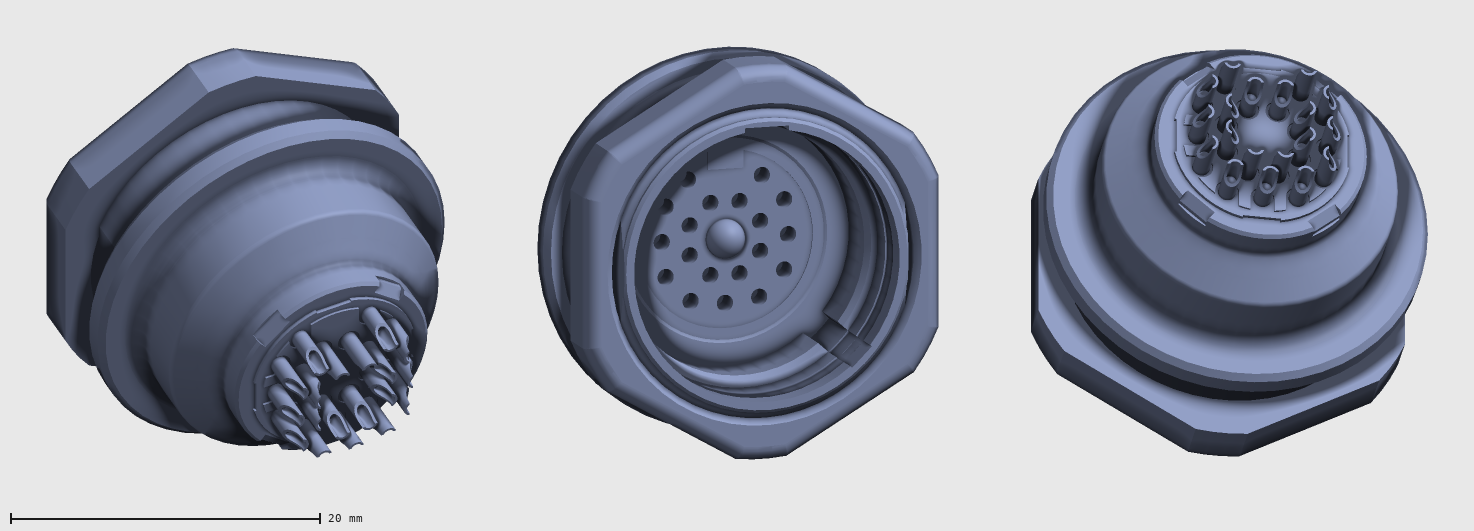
import cadquery as cq
import math


NUT_FRONT_X = 0.5
NUT_BACK_X = 4.03
NUT_ACROSS_FLATS = 24.0
NUT_CORNER_R = 13.0
NUT_EDGE_FILLET = 1.0
NUT_MOUTH_R = 10.6
SEAT_R = 10.18

THREAD_R = 10.5
BODY_R = 19.4 / 2
FLAT_ACROSS = 19.17
RIM_CHAMFER = 0.2
FLANGE_FRONT_X = 7.95
FLANGE_BACK_X = 10.03
FLANGE_R = 12.5
FLANGE_CHAMFER = 0.4
FLANGE_FRONT_CHAMFER_LENGTH = 0.5
FLANGE_FILLET = 1.0
SEAL_FRONT_X = 7.72
SEAL_SECTION_R = 0.47
CONE_START_X = 14.5
CONE_END_X = 16.45
CONE_TANGENT = 0.23
REAR_R = 13.9 / 2
REAR_X = 18.5
REAR_CHAMFER = 0.2

BORE_R = 8.96
GROOVE_R = 9.1
GROOVE_START_X = 1.43
GROOVE_TAPER_END_X = 1.85
GROOVE_END_X = 3.1
RIDGE_START_X = 4.83
RIDGE_BREAK_X = 5.12
RIDGE_BREAK_R = 8.63
RIDGE_FULL_X = 5.53
RIDGE_R = 16.6 / 2
SOCKET_FACE_X = 8.95
STEP_OUTER_R = 13.7 / 2
STEP_INNER_R = 6.65
STEP_DEPTH = 0.08
RECESS_R = 5.9
RECESS_DEPTH = 0.1
RECESS_KEY_WIDTH = 2.45
RECESS_KEY_Z = 4.6

KEY_SLOTS = [(3.0, 9.15, 0.0), (1.87, 9.07, 135.0)]

CONTACT_D = 1.15
CUP_D = 0.8
SOCKET_D = 1.1
SOCKET_DEPTH = 2.08
CONTACT_END_X = 22.0
CUP_BOTTOM_X = 20.13
CUP_WALL_HEIGHT = 0.4
CUP_CUT_R = 2.08
INNER_RING_R = 2.57
INNER_RING_COUNT = 8
OUTER_TOP = (2.5, 4.0)
OUTER_SIDE = (4.0, 2.3)
OUTER_LOW = (2.3, -4.0)
OUTER_AXIS_R = 4.25
DOME_R = 1.3

INSULATOR_R = 5.85
INSULATOR_END_X = 18.75
PAD_R = 5.2
PAD_END_X = 18.91
CLEARANCE_D = 1.55
RIM_NOTCH_WIDTH = 2.47
RIM_NOTCH_DEPTH = 0.25
LATCH_ANGLE = 50.0
LATCH_WIDTH = 2.3
LATCH_START_X = 17.65
LATCH_STEP_X = 17.95
LATCH_FLOOR_R = 6.75
LATCH_RAMP_DROP = 0.65


def cylinder(radius, start_x, end_x, y=0.0, z=0.0):
    """Solid cylinder along X."""
    return cq.Workplane("YZ", origin=(start_x, y, z)).circle(radius).extrude(end_x - start_x)


def box(start_x, end_x, width_y, low_z, high_z):
    """Block centred on Y = 0."""
    corner_plane = cq.Workplane("XY", origin=(start_x, 0, low_z))
    return corner_plane.box(end_x - start_x, width_y, high_z - low_z, centered=(False, True, False))


def turn(workplane, angle):
    """Rotate about the connector axis."""
    return workplane.rotate((0, 0, 0), (1, 0, 0), angle)


def revolve_about_axis(profile):
    return profile.close().revolve(360, (0, 0, 0), (1, 0, 0))


def make_nut():
    length = NUT_BACK_X - NUT_FRONT_X
    corner_diameter = NUT_ACROSS_FLATS / math.cos(math.pi / 6)
    hexagon = cq.Workplane("YZ", origin=(NUT_FRONT_X, 0, 0)).polygon(6, corner_diameter).extrude(length)
    blank = turn(hexagon, 30).intersect(cylinder(NUT_CORNER_R, NUT_FRONT_X, NUT_BACK_X))
    blank = blank.faces("<X").edges().fillet(NUT_EDGE_FILLET)
    bored = blank.cut(cylinder(SEAT_R, NUT_FRONT_X, NUT_BACK_X))
    mouth_edge = bored.faces("<X").edges("%CIRCLE").edges(cq.selectors.RadiusNthSelector(0))
    return mouth_edge.chamfer(NUT_MOUTH_R - SEAT_R)


def make_shell_blank():
    """Solid turned outside of the shell."""
    seat_x = NUT_FRONT_X + NUT_MOUTH_R - SEAT_R
    cone_angle = math.atan2(BODY_R - REAR_R, CONE_END_X - CONE_START_X)
    round_dx = CONE_TANGENT * math.cos(cone_angle)
    round_dr = CONE_TANGENT * math.sin(cone_angle)
    edge_r = FLANGE_R - FLANGE_CHAMFER
    profile = (
        cq.Workplane("XY")
        .moveTo(0, 0)
        .lineTo(0, BODY_R - RIM_CHAMFER)
        .lineTo(RIM_CHAMFER, BODY_R)
        .lineTo(seat_x - (SEAT_R - BODY_R), BODY_R)
        .lineTo(seat_x, SEAT_R)
        .lineTo(NUT_BACK_X, SEAT_R)
        .lineTo(NUT_BACK_X, THREAD_R)
        .lineTo(FLANGE_FRONT_X, THREAD_R)
        .lineTo(FLANGE_FRONT_X, edge_r)
        .lineTo(FLANGE_FRONT_X + FLANGE_FRONT_CHAMFER_LENGTH, FLANGE_R)
        .lineTo(FLANGE_BACK_X - FLANGE_CHAMFER, FLANGE_R)
        .lineTo(FLANGE_BACK_X, edge_r)
        .lineTo(FLANGE_BACK_X, BODY_R + FLANGE_FILLET)
        .tangentArcPoint((FLANGE_BACK_X + FLANGE_FILLET, BODY_R), relative=False)
        .lineTo(CONE_START_X - CONE_TANGENT, BODY_R)
        .tangentArcPoint((CONE_START_X + round_dx, BODY_R - round_dr), relative=False)
        .lineTo(CONE_END_X - round_dx, REAR_R + round_dr)
        .tangentArcPoint((CONE_END_X + CONE_TANGENT, REAR_R), relative=False)
        .lineTo(REAR_X - REAR_CHAMFER, REAR_R)
        .lineTo(REAR_X, REAR_R - REAR_CHAMFER)
        .lineTo(REAR_X, 0)
    )
    return revolve_about_axis(profile)


def make_thread_flats():
    """Blocks that cut the two flats on the threaded length."""
    outside = box(0, FLANGE_FRONT_X, 2 * FLANGE_R, -FLANGE_R, FLANGE_R)
    return outside.cut(box(0, FLANGE_FRONT_X, FLAT_ACROSS, -FLANGE_R, FLANGE_R))


def make_seal_bead():
    """Rounded sealing bead around the thread, partly sunk in the flange front."""
    center_x = SEAL_FRONT_X + SEAL_SECTION_R
    center_r = THREAD_R + SEAL_SECTION_R
    section = cq.Workplane("XY").moveTo(center_x, center_r).circle(SEAL_SECTION_R)
    return section.revolve(360, (0, 0, 0), (1, 0, 0))


def make_bore():
    """Space inside the shell, down to the contact face."""
    step_x = SOCKET_FACE_X + STEP_DEPTH
    profile = (
        cq.Workplane("XY")
        .moveTo(0, 0)
        .lineTo(0, BORE_R)
        .lineTo(GROOVE_START_X, BORE_R)
        .lineTo(GROOVE_TAPER_END_X, GROOVE_R)
        .lineTo(GROOVE_END_X, GROOVE_R)
        .lineTo(GROOVE_END_X, BORE_R)
        .lineTo(RIDGE_START_X, BORE_R)
        .lineTo(RIDGE_BREAK_X, RIDGE_BREAK_R)
        .lineTo(RIDGE_FULL_X, RIDGE_R)
        .lineTo(SOCKET_FACE_X, RIDGE_R)
        .lineTo(SOCKET_FACE_X, STEP_OUTER_R)
        .lineTo(step_x, STEP_INNER_R)
        .lineTo(step_x, 0)
    )
    recess = cylinder(RECESS_R, step_x, step_x + RECESS_DEPTH)
    recess_key = box(step_x, step_x + RECESS_DEPTH, RECESS_KEY_WIDTH, RECESS_KEY_Z, RECESS_R)
    bore = revolve_about_axis(profile).union(recess.cut(recess_key))
    for width, floor, angle in KEY_SLOTS:
        slot = box(0, RIDGE_START_X, width, 0, floor)
        ridge_slot = box(RIDGE_START_X, SOCKET_FACE_X, width, 0, floor)
        ridge_slot = ridge_slot.intersect(cylinder(BORE_R, RIDGE_START_X, SOCKET_FACE_X))
        bore = bore.union(turn(slot.union(ridge_slot), angle))
    return bore


def contact_layout():
    """(y, z, cup angle) of every contact; the cup angle turns +Z to the open side of the cup."""
    places = [(0.0, -OUTER_AXIS_R, 180.0)]
    for side in (1, -1):
        side_angle = -90.0 * side
        top_y, top_z = OUTER_TOP
        side_y, side_z = OUTER_SIDE
        low_y, low_z = OUTER_LOW
        places.append((side * top_y, top_z, 0.0))
        places.append((side * side_y, side_z, side_angle))
        places.append((side * OUTER_AXIS_R, 0.0, side_angle))
        places.append((side * side_y, -side_z, side_angle))
        places.append((side * low_y, low_z, 180.0))
    spacing = 360.0 / INNER_RING_COUNT
    for index in range(INNER_RING_COUNT):
        angle = math.radians((index + 0.5) * spacing)
        y = INNER_RING_R * math.cos(angle)
        z = INNER_RING_R * math.sin(angle)
        if abs(z) > abs(y):
            cup_angle = 180.0 if z > 0 else 0.0
        else:
            cup_angle = 90.0 if y > 0 else -90.0
        places.append((y, z, cup_angle))
    return places


def make_contact():
    """Rear contact with a solder cup open toward +Z, on the X axis."""
    contact = cylinder(CONTACT_D / 2, REAR_X, CONTACT_END_X)
    contact = contact.cut(cylinder(CUP_D / 2, CUP_BOTTOM_X, CONTACT_END_X))
    cut_z = CUP_WALL_HEIGHT - CONTACT_D / 2 + CUP_CUT_R
    cutter = cq.Workplane("XZ", origin=(CONTACT_END_X, 0, cut_z)).circle(CUP_CUT_R)
    return contact.cut(cutter.extrude(CONTACT_D / 2, both=True))


def make_latch_cut():
    """Notch in the rear rim, with a ramp that drops toward the end, on the +Z side."""
    profile = (
        cq.Workplane("XZ")
        .moveTo(LATCH_START_X, REAR_R)
        .lineTo(LATCH_START_X, LATCH_FLOOR_R)
        .lineTo(LATCH_STEP_X, LATCH_FLOOR_R)
        .lineTo(REAR_X, LATCH_FLOOR_R - LATCH_RAMP_DROP)
        .lineTo(REAR_X, REAR_R)
        .close()
    )
    return profile.extrude(LATCH_WIDTH / 2, both=True)


def make_insulator_rear(contacts):
    """Disc and raised pad behind the shell; the pad has a hole or open slot around each contact."""
    disc = cylinder(INSULATOR_R, REAR_X, INSULATOR_END_X)
    notch = box(REAR_X, INSULATOR_END_X, RIM_NOTCH_WIDTH, INSULATOR_R - RIM_NOTCH_DEPTH, INSULATOR_R)
    for angle in (0, 90, 180, 270):
        disc = disc.cut(turn(notch, angle))
    pad = cylinder(PAD_R, INSULATOR_END_X, PAD_END_X)
    hole = cylinder(CLEARANCE_D / 2, INSULATOR_END_X, PAD_END_X)
    open_slot = hole.union(box(INSULATOR_END_X, PAD_END_X, CLEARANCE_D, 0, PAD_R))
    for y, z, cup_angle in contacts:
        is_outer = math.hypot(y, z) > INNER_RING_R + CONTACT_D / 2
        clearance = turn(open_slot, cup_angle) if is_outer else hole
        pad = pad.cut(clearance.translate((0, y, z)))
    return disc.union(pad)


def make_connector():
    contacts = contact_layout()
    body = make_shell_blank().cut(make_thread_flats()).union(make_seal_bead()).cut(make_bore())

    latch_cut = make_latch_cut()
    for angle in (90 - LATCH_ANGLE, 90 + LATCH_ANGLE):
        body = body.cut(turn(latch_cut, angle)).cut(turn(latch_cut, -angle))

    body = body.union(make_insulator_rear(contacts))
    floor_x = SOCKET_FACE_X + STEP_DEPTH + RECESS_DEPTH
    contact = make_contact()
    for y, z, cup_angle in contacts:
        body = body.cut(cylinder(SOCKET_D / 2, floor_x, floor_x + SOCKET_DEPTH, y, z))
        body = body.union(turn(contact, cup_angle).translate((0, y, z)))

    return body.union(cq.Workplane("XY").sphere(DOME_R).translate((floor_x, 0, 0)))


nut = make_nut()
connector = make_connector()

result = cq.Compound.makeCompound([nut.val(), connector.val()])